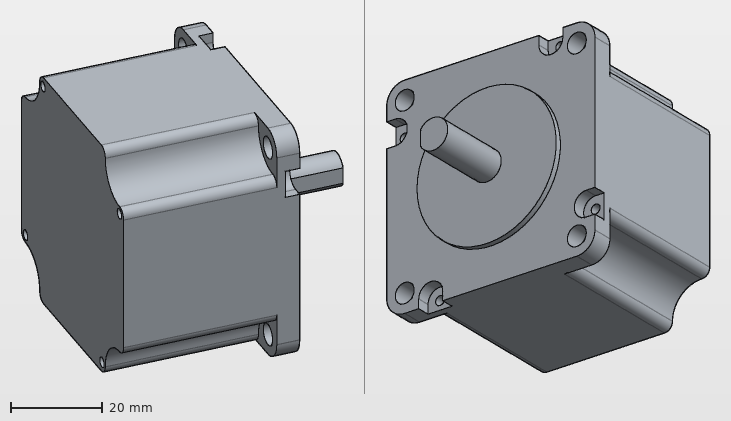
import cadquery as cq

width = 57.0
half = width / 2
total_length = 63.0
boss_height = 1.5
shaft_length = 19.5
body_length = total_length - boss_height - shaft_length
flange_thickness = 5.5

mount_offset = 23.55
mount_diameter = 5.15
corner_radius = half - mount_offset

groove_radius = 8.0
groove_lip_radius = 2.2

boss_diameter = 38.1
shaft_diameter = 8.0
flat_depth = 0.5
flat_length = 14.85

bolt_diameter = 2.4
bolt_long_offset = 26.15
bolt_short_offset = 16.45
bolt_slot_width = 6.55
bolt_slot_depth = 3.4

QUARTER_TURNS = (0, 90, 180, 270)


def plane_at(y):
    """XZ plane at height y; local axes are X and Z, and extrusion runs toward -Y."""
    return cq.Workplane("XZ", origin=(0, y, 0))


def turn(shape, angle):
    """Rotate a shape about the shaft axis."""
    return shape.rotate((0, 0, 0), (0, 1, 0), angle)


def make_groove():
    """Cutter for the +X +Z corner: a concave arc with a rounded lip at each end."""
    arc_centre = half - groove_lip_radius
    arc_end = arc_centre - groove_radius
    lip_centre = arc_end - groove_lip_radius
    profile = (
        plane_at(-flange_thickness)
        .moveTo(half, half)
        .lineTo(half, lip_centre)
        .radiusArc((arc_centre, arc_end), -groove_lip_radius)
        .radiusArc((arc_end, arc_centre), groove_radius)
        .radiusArc((lip_centre, half), -groove_lip_radius)
        .close()
    )
    return profile.extrude(body_length - flange_thickness)


def make_bolt_cutter():
    """Through hole near the top edge and a round-bottomed slot open to the top side."""
    hole = (
        plane_at(0)
        .center(-bolt_short_offset, bolt_long_offset)
        .circle(bolt_diameter / 2)
        .extrude(body_length)
    )
    slot_plane = plane_at(0).center(-bolt_short_offset, bolt_long_offset)
    slot_end = slot_plane.circle(bolt_slot_width / 2).extrude(bolt_slot_depth)
    opening_height = half - bolt_long_offset
    slot_opening = (
        slot_plane.center(0, opening_height / 2)
        .rect(bolt_slot_width, opening_height)
        .extrude(bolt_slot_depth)
    )
    return hole.union(slot_end).union(slot_opening)


def make_body():
    """Square body with rounded corners, corner grooves and all of its holes."""
    body = plane_at(0).rect(width, width).extrude(body_length).edges("|Y").fillet(corner_radius)
    groove = make_groove()
    bolt_cutter = make_bolt_cutter()
    for angle in QUARTER_TURNS:
        body = body.cut(turn(groove, angle)).cut(turn(bolt_cutter, angle))
    mount_holes = (
        plane_at(0)
        .rect(2 * mount_offset, 2 * mount_offset, forConstruction=True)
        .vertices()
        .circle(mount_diameter / 2)
        .extrude(flange_thickness)
    )
    return body.cut(mount_holes)


def make_shaft():
    """Round shaft with a flat on its +X side near the free end."""
    tip = boss_height + shaft_length
    shaft_radius = shaft_diameter / 2
    shaft = plane_at(tip).circle(shaft_radius).extrude(tip)
    flat = (
        plane_at(tip)
        .center(shaft_radius - flat_depth / 2, 0)
        .rect(flat_depth, shaft_diameter)
        .extrude(flat_length)
    )
    return shaft.cut(flat)


boss = plane_at(boss_height).circle(boss_diameter / 2).extrude(boss_height)
result = make_body().union(boss).union(make_shaft())